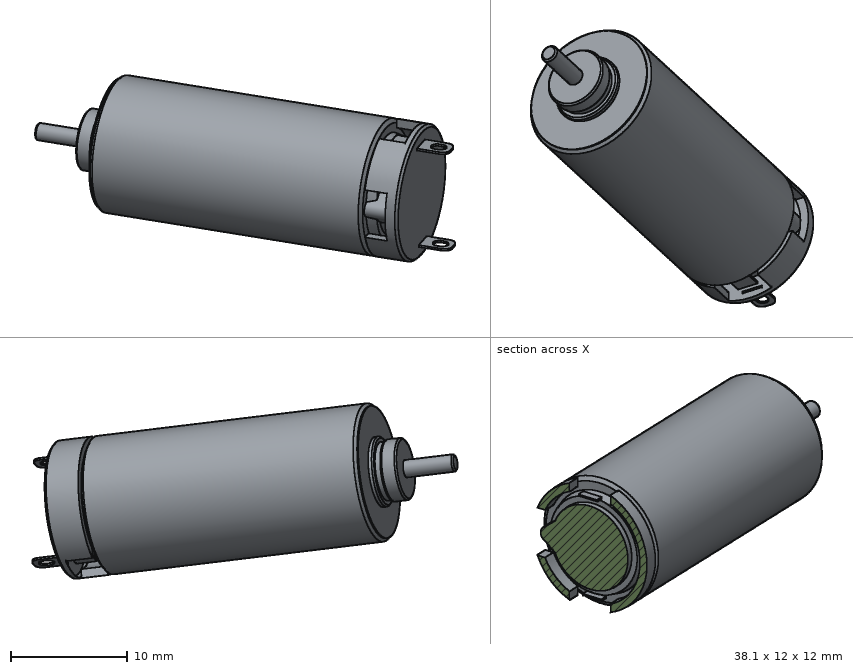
import cadquery as cq
import math


boss_front = 4.5
boss_back = 5.8
flange_front = 6.45
body_front = 6.9
chamfer_start = 31.7
body_back = 31.97
cap_front = 32.15
spigot_back = 32.85
cavity_back = 34.55
cap_back = 35.3
terminal_start = 32.7
terminal_tip = 38.1

shaft_radius = 0.75
neck_radius = 2.55
boss_radius = 2.7
flange_radius = 3.05
body_diameter = 12.0
body_radius = body_diameter / 2
cap_inner_radius = 5.22
spigot_front_radius = 4.8
spigot_back_radius = 4.57
core_radius = 4.0

small_chamfer = 0.15
groove_taper = 0.2
body_chamfer = 0.25
body_front_land = 0.1
body_back_chamfer = 0.4
cap_chamfer = 0.23
overlap = 0.2

side_window_half = 2.25
side_window_back = 34.2
terminal_window_half = 2.15

rib_tip_y = -5.22
rib_nose_y = -4.88
rib_nose_half_width = 0.6
rib_shoulder_y = -4.57
rib_shoulder_half_width = 0.85
rib_root_half_width = 1.52

terminal_width = 1.95
terminal_thickness = 0.2
terminal_z = 4.7
terminal_offset = 0.23
terminal_corner_radius = 0.72
eyelet_length = 1.37
eyelet_width = 1.05
eyelet_x = 36.93


def cylinder(start, end, radius):
    return cq.Workplane("YZ", origin=(start, 0, 0)).circle(radius).extrude(end - start)


def make_front():
    """Shaft, grooved boss, flange, motor body and tapered spigot, turned about the X axis."""
    profile = [
        (0, 0),
        (0, shaft_radius - small_chamfer),
        (small_chamfer, shaft_radius),
        (boss_front, shaft_radius),
        (boss_front, boss_radius - small_chamfer),
        (boss_front + small_chamfer, boss_radius),
        (boss_back, boss_radius),
        (boss_back + groove_taper, neck_radius),
        (flange_front, neck_radius),
        (flange_front, flange_radius - small_chamfer),
        (flange_front + small_chamfer, flange_radius),
        (body_front, flange_radius),
        (body_front, body_radius - body_chamfer),
        (body_front + body_front_land, body_radius - body_chamfer),
        (body_front + body_front_land + body_chamfer, body_radius),
        (chamfer_start, body_radius),
        (body_back, body_radius - body_back_chamfer),
        (body_back, spigot_front_radius),
        (spigot_back, spigot_back_radius),
        (spigot_back, 0),
    ]
    return cq.Workplane("XY").polyline(profile).close().revolve(360, (0, 0, 0), (1, 0, 0))


def make_cap():
    """Hollow end cap with a window on the -Y, +Z and -Z sides."""
    cap = cylinder(cap_front, cap_back, body_radius).faces(">X").chamfer(cap_chamfer)
    cap = cap.cut(cylinder(cap_front, cavity_back, cap_inner_radius))

    side_length = side_window_back - cap_front
    side_window = cq.Workplane("XY").box(
        side_length, body_radius, 2 * side_window_half, centered=(False, False, True)
    )
    cap = cap.cut(side_window.translate((cap_front, -body_radius, 0)))

    terminal_windows = cq.Workplane("XY").box(
        cavity_back - cap_front, 2 * terminal_window_half, body_diameter, centered=(False, True, True)
    )
    return cap.cut(terminal_windows.translate((cap_front, 0, 0)))


def make_rib():
    """Rib along X on the core, with flared flanks and a rounded nose."""
    root_y = -math.sqrt(core_radius**2 - rib_root_half_width**2)
    return (
        cq.Workplane("YZ", origin=(body_back, 0, 0))
        .moveTo(0, -rib_root_half_width)
        .lineTo(root_y, -rib_root_half_width)
        .lineTo(rib_shoulder_y, -rib_shoulder_half_width)
        .lineTo(rib_nose_y, -rib_nose_half_width)
        .threePointArc((rib_tip_y, 0), (rib_nose_y, rib_nose_half_width))
        .lineTo(rib_shoulder_y, rib_shoulder_half_width)
        .lineTo(root_y, rib_root_half_width)
        .lineTo(0, rib_root_half_width)
        .close()
        .extrude(cavity_back - body_back)
    )


def make_terminal():
    """Upper terminal strip, rounded at the tip and pierced by an eyelet slot."""
    strip = (
        cq.Workplane("XY")
        .box(terminal_tip - terminal_start, terminal_width, terminal_thickness, centered=(False, True, True))
        .edges("|Z and >X")
        .fillet(terminal_corner_radius)
        .translate((terminal_start, -terminal_offset, terminal_z))
    )
    eyelet = (
        cq.Workplane("XY", origin=(eyelet_x, -terminal_offset, terminal_z))
        .slot2D(eyelet_length, eyelet_width)
        .extrude(terminal_thickness, both=True)
    )
    return strip.cut(eyelet)


core = cylinder(body_back, cavity_back + overlap, core_radius)
upper_terminal = make_terminal()
lower_terminal = upper_terminal.rotate((0, 0, 0), (1, 0, 0), 180)

result = make_front()
for piece in (core, make_cap(), make_rib(), upper_terminal, lower_terminal):
    result = result.union(piece)